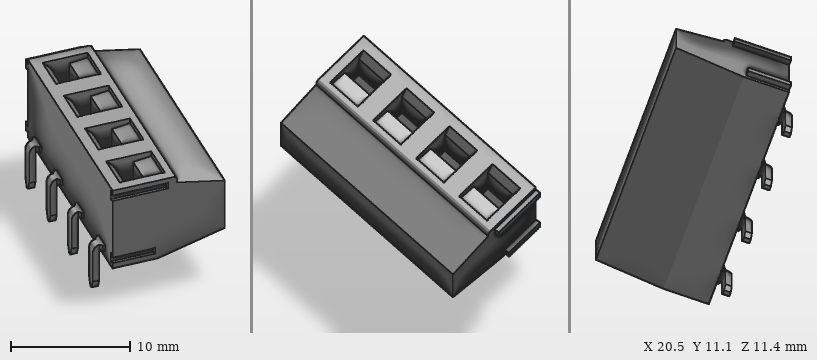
import cadquery as cq


pole_count = 4
pole_pitch = 5.0
rail_depth = 0.5
body_length = 20.5 - rail_depth
body_depth = 10.09
body_height = 8.1
step_depth = 5.8
step_height = 0.64
step_radius = 0.33
rear_top = 6.54
rear_bottom = 1.6
underside_depth = 4.04

dovetail_wide = 0.9
dovetail_narrow = 0.57
upper_dovetail_z = 7.32
upper_dovetail_length = 5.02
lower_dovetail_z = 0.85
lower_dovetail_length = 3.81

funnel_width = 3.2
funnel_front = 0.98
funnel_back = 5.02
funnel_depth = 0.62
funnel_back_lip = 0.45
chamber_width = 3.01
chamber_front = 1.65
chamber_back = 3.36
chamber_depth = body_height / 2

pin_width = 0.92
pin_thickness = 0.6
pin_reach = 1.0
pin_top = 1.23
pin_bottom = -3.3
bend_radius = 0.78
inner_bend_radius = bend_radius - pin_thickness
tip_width = 0.35
tip_length = 0.8
flange_width = 1.5
flange_straight = 0.2
flange_reach = pin_reach - pin_thickness
pin_root = 0.4


def make_body():
    """Housing: side profile swept along the length, with a rounded step."""
    step_z = body_height - step_height
    return (
        cq.Workplane("YZ")
        .moveTo(0, 0)
        .lineTo(underside_depth, 0)
        .lineTo(body_depth, rear_bottom)
        .lineTo(body_depth, rear_top)
        .lineTo(step_depth, step_z)
        .lineTo(step_depth, body_height - step_radius)
        .radiusArc((step_depth - step_radius, body_height), -step_radius)
        .lineTo(0, body_height)
        .close()
        .extrude(body_length)
    )


def make_dovetail(side_x, center_z, length):
    """Dovetail bar whose narrow side lies at side_x and wide side to its left."""
    half_narrow = dovetail_narrow / 2
    half_wide = dovetail_wide / 2
    outline = [
        (side_x, center_z - half_narrow),
        (side_x - rail_depth, center_z - half_wide),
        (side_x - rail_depth, center_z + half_wide),
        (side_x, center_z + half_narrow),
    ]
    return cq.Workplane("XZ").polyline(outline).close().extrude(-length)


def make_wire_entry(center_x):
    """Cutter for one wire entry."""
    funnel_bottom = body_height - funnel_depth
    chamber_bottom = body_height - chamber_depth
    side_profile = [
        (funnel_front, body_height),
        (chamber_front, funnel_bottom),
        (chamber_front, chamber_bottom),
        (chamber_back, chamber_bottom),
        (chamber_back, funnel_bottom),
        (funnel_back, body_height - funnel_back_lip),
        (funnel_back, body_height),
    ]
    front_profile = [
        (center_x - funnel_width / 2, body_height),
        (center_x - chamber_width / 2, funnel_bottom),
        (center_x - chamber_width / 2, chamber_bottom),
        (center_x + chamber_width / 2, chamber_bottom),
        (center_x + chamber_width / 2, funnel_bottom),
        (center_x + funnel_width / 2, body_height),
    ]
    lengthwise = (
        cq.Workplane("YZ", origin=(center_x, 0, 0))
        .polyline(side_profile)
        .close()
        .extrude(funnel_width / 2, both=True)
    )
    crosswise = cq.Workplane("XZ").polyline(front_profile).close().extrude(-body_depth)
    return lengthwise.intersect(crosswise)


def make_pin(center_x):
    """Pin bent down from the front face, with a pointed tip and a flange."""
    bend_y = bend_radius - pin_reach
    bend_z = pin_top - bend_radius
    underside_z = pin_top - pin_thickness
    blank = (
        cq.Workplane("YZ", origin=(center_x, 0, 0))
        .moveTo(pin_root, pin_top)
        .lineTo(bend_y, pin_top)
        .radiusArc((-pin_reach, bend_z), -bend_radius)
        .lineTo(-pin_reach, pin_bottom)
        .lineTo(pin_root, pin_bottom)
        .close()
        .extrude(flange_width / 2, both=True)
    )
    inside_of_bend = (
        cq.Workplane("YZ", origin=(center_x, 0, 0))
        .moveTo(pin_root, underside_z)
        .lineTo(bend_y, underside_z)
        .radiusArc((-flange_reach, bend_z), -inner_bend_radius)
        .lineTo(-flange_reach, pin_bottom)
        .lineTo(pin_root, pin_bottom)
        .close()
        .extrude(flange_width / 2, both=True)
    )
    tip_start = pin_bottom + tip_length
    front_outline = [
        (center_x - pin_width / 2, pin_top),
        (center_x - pin_width / 2, tip_start),
        (center_x - tip_width / 2, pin_bottom),
        (center_x + tip_width / 2, pin_bottom),
        (center_x + pin_width / 2, tip_start),
        (center_x + pin_width / 2, pin_top),
    ]
    pointed_slab = (
        cq.Workplane("XZ")
        .polyline(front_outline)
        .close()
        .extrude(pin_reach + pin_root, both=True)
    )
    flange_outline = [
        (center_x - flange_width / 2, pin_root),
        (center_x - flange_width / 2, -flange_straight),
        (center_x - pin_width / 2, -flange_reach),
        (center_x + pin_width / 2, -flange_reach),
        (center_x + flange_width / 2, -flange_straight),
        (center_x + flange_width / 2, pin_root),
    ]
    flange = (
        cq.Workplane("XY", origin=(0, 0, underside_z))
        .polyline(flange_outline)
        .close()
        .extrude(pin_thickness)
    )
    strip = blank.cut(inside_of_bend).intersect(pointed_slab)
    return strip.union(flange.intersect(blank))


result = make_body()

for dovetail_z, dovetail_length in (
    (upper_dovetail_z, upper_dovetail_length),
    (lower_dovetail_z, lower_dovetail_length),
):
    result = result.union(make_dovetail(0, dovetail_z, dovetail_length))
    result = result.cut(make_dovetail(body_length, dovetail_z, dovetail_length))

for pole in range(pole_count):
    pole_x = pole_pitch * (pole + 0.5)
    result = result.cut(make_wire_entry(pole_x))
    result = result.union(make_pin(pole_x))